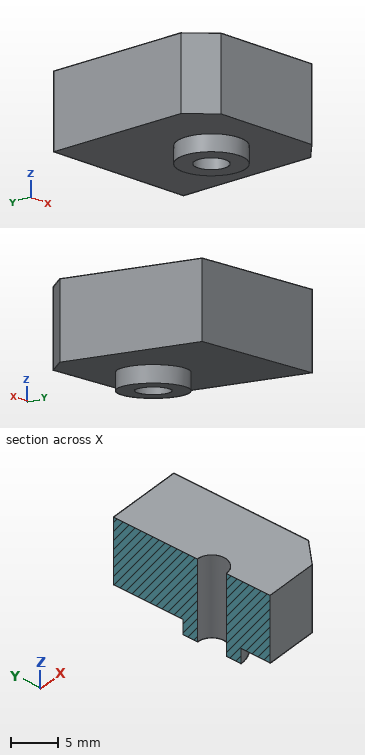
import cadquery as cq

width = 20.0
length = 21.5
total_height = 11.0
boss_height = 2.0
corner_chamfer = 3.0
boss_diameter = 8.0
bore_diameter = 3.95
bore_from_front = 8.0

body_height = total_height - boss_height

block = (
    cq.Workplane("XY")
    .box(width, length, body_height, centered=(True, False, False))
    .faces("<Y")
    .edges("|Z")
    .chamfer(corner_chamfer)
)

boss = (
    cq.Workplane("XY")
    .center(0, bore_from_front)
    .circle(boss_diameter / 2)
    .extrude(-boss_height)
)

bore = (
    cq.Workplane("XY", origin=(0, 0, -boss_height))
    .center(0, bore_from_front)
    .circle(bore_diameter / 2)
    .extrude(total_height)
)

result = block.union(boss).cut(bore)